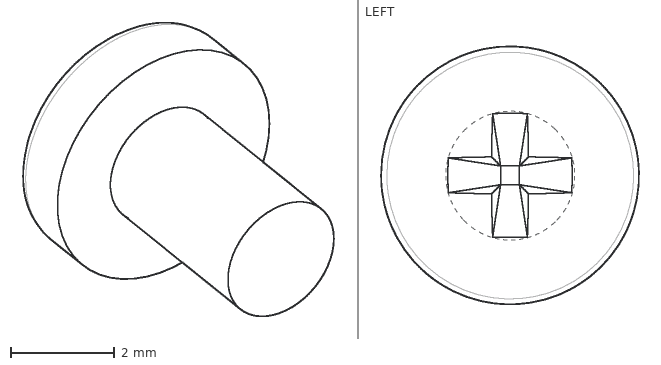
import cadquery as cq
import math

head_diameter = 5.0
head_height = 2.1
dome_radius = 4.0
rim_fillet = 0.275
shank_diameter = 2.5
shank_length = 4.0

recess_depth = 1.455
recess_span = 2.71
recess_arm_width = 0.72
recess_floor_width = 0.365


def make_head():
    """Domed disc with a rounded rim."""
    head_radius = head_diameter / 2
    apex_x = -head_height
    dome_center_x = apex_x + dome_radius
    rim_x = dome_center_x - math.sqrt(dome_radius**2 - head_radius**2)
    half_angle = math.asin(head_radius / dome_radius) / 2
    arc_middle = (
        dome_center_x - dome_radius * math.cos(half_angle),
        dome_radius * math.sin(half_angle),
    )
    head = (
        cq.Workplane("XY")
        .moveTo(apex_x, 0)
        .threePointArc(arc_middle, (rim_x, head_radius))
        .lineTo(0, head_radius)
        .lineTo(0, 0)
        .close()
        .revolve(360, (0, 0, 0), (1, 0, 0))
    )
    head_rims = head.edges("%CIRCLE").edges(cq.selectors.RadiusNthSelector(0))
    return head_rims.edges("<X").fillet(rim_fillet)


def make_shank():
    """Plain cylinder below the head."""
    return cq.Workplane("YZ").circle(shank_diameter / 2).extrude(shank_length)


def make_recess_arm_pair(size_y, size_z):
    """Two opposite arms of the recess, tapering toward the floor."""
    return (
        cq.Workplane("YZ", origin=(-head_height, 0, 0))
        .rect(size_y, size_z)
        .workplane(offset=recess_depth)
        .rect(recess_floor_width, recess_floor_width)
        .loft(ruled=True)
    )


result = (
    make_head()
    .union(make_shank())
    .cut(make_recess_arm_pair(recess_span, recess_arm_width))
    .cut(make_recess_arm_pair(recess_arm_width, recess_span))
)